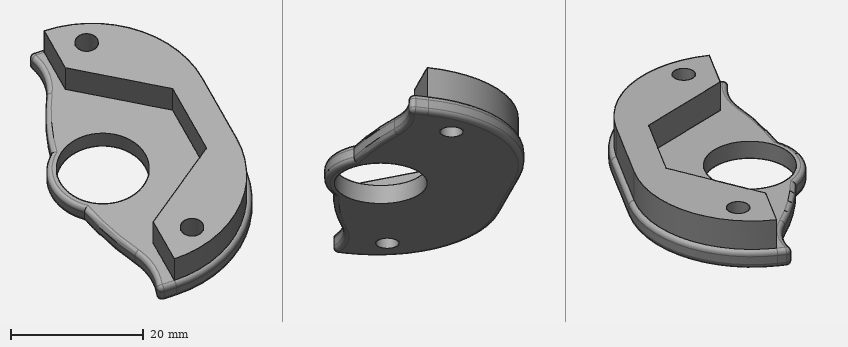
import cadquery as cq
import math

width = 51.0
plate_thickness = 3.0
total_height = 8.0
edge_radius = 0.8

corner_radius = 18.95
corner_center_y = 1.05
half_width = width / 2
half_flat = half_width - corner_radius

shaft_hole_diameter = 14.0
lobe_radius = 8.45
screw_hole_diameter = 3.5
screw_x = 20.0
screw_y = 6.0

recess_back_y = 14.3
recess_half_back = 6.45
recess_half_front = 16.7

left_tip = (-half_width, -1.5)
left_inflection = (-17.15, -1.8)
left_sweep = (-13.25, -3.6)
left_end = (-2.55, -6.4)
right_tip = (half_width, -2.1)
right_crest = (21.6, -1.3)
right_inflection = (17.3, -2.2)
right_end = (2.55, -6.25)


def rounded_back(radius):
    """Open outline over the back: two quarter circles joined by a flat, drawn left to right."""
    diagonal = radius * math.sqrt(0.5)
    side_x = half_flat + radius
    top_y = corner_center_y + radius
    middle_x = half_flat + diagonal
    middle_y = corner_center_y + diagonal
    return (
        cq.Workplane("XY")
        .moveTo(-side_x, corner_center_y)
        .threePointArc((-middle_x, middle_y), (-half_flat, top_y))
        .lineTo(half_flat, top_y)
        .threePointArc((middle_x, middle_y), (side_x, corner_center_y))
    )


def round_rims(slab):
    """Round the top and bottom outer edges of a flat slab."""
    return slab.faces("<Z or >Z").edges().fillet(edge_radius)


def make_plate():
    """Base plate with a wavy front edge, a round lobe and all outer edges rounded."""
    plate = (
        rounded_back(corner_radius)
        .lineTo(*right_tip)
        .threePointArc(right_crest, right_inflection)
        .tangentArcPoint(right_end, relative=False)
        .lineTo(*left_end)
        .threePointArc(left_sweep, left_inflection)
        .tangentArcPoint(left_tip, relative=False)
        .close()
        .extrude(plate_thickness)
    )
    for point in (left_tip, right_tip):
        tip_edge = cq.selectors.NearestToPointSelector((*point, plate_thickness / 2))
        plate = plate.edges("|Z").edges(tip_edge).fillet(edge_radius)
    lobe = cq.Workplane("XY").circle(lobe_radius).extrude(plate_thickness)
    return round_rims(plate).union(round_rims(lobe))


def make_block():
    """Raised block, set in from the plate by the edge rounding."""
    mid_plate = plate_thickness / 2
    block = (
        rounded_back(corner_radius - edge_radius)
        .lineTo(recess_half_front, corner_center_y)
        .lineTo(recess_half_back, recess_back_y)
        .lineTo(-recess_half_back, recess_back_y)
        .lineTo(-recess_half_front, corner_center_y)
        .close()
        .extrude(total_height - mid_plate)
    )
    return block.translate((0, 0, mid_plate))


def make_holes():
    """Through cutters for the shaft and the two screws."""
    shaft = cq.Workplane("XY").circle(shaft_hole_diameter / 2).extrude(total_height)
    screws = (
        cq.Workplane("XY")
        .pushPoints([(-screw_x, screw_y), (screw_x, screw_y)])
        .circle(screw_hole_diameter / 2)
        .extrude(total_height)
    )
    return shaft.union(screws)


result = make_plate().union(make_block()).cut(make_holes())